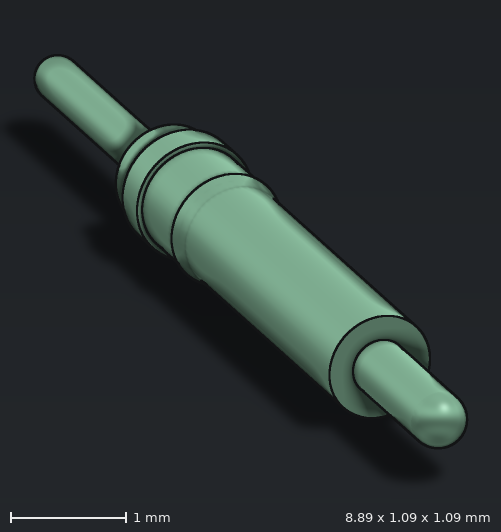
import cadquery as cq

total_length = 8.89

tail_diameter = 0.41
plunger_diameter = 0.51
barrel_diameter = 0.95
flange_diameter = 1.09
seat_diameter = 1.0
barb_diameter = 1.04

barrel_start = 2.605
flange_start = 2.925
flange_width = 0.32
barb_start = 3.95
barb_width = 0.21
barrel_end = 7.34

flange_end = flange_start + flange_width
barb_end = barb_start + barb_width


def cylinder(start, end, diameter):
    """Solid cylinder on the X axis between two stations."""
    return cq.Workplane("YZ", origin=(start, 0, 0)).circle(diameter / 2).extrude(end - start)


def ball(center, diameter):
    """Sphere centred on the X axis, used as a rounded pin end."""
    return cq.Workplane("XY", origin=(center, 0, 0)).sphere(diameter / 2)


def rounded_pin(base, tip, diameter):
    """Pin with a flat base and a hemispherical tip."""
    direction = 1 if tip > base else -1
    dome_center = tip - direction * diameter / 2
    shaft = cylinder(base, dome_center, diameter)
    return shaft.union(ball(dome_center, diameter))


def press_fit_barb():
    """Tapered ring: square shoulder toward the flange, narrowing to the barrel."""
    return (
        cq.Workplane("XY")
        .moveTo(barb_start, 0)
        .lineTo(barb_start, barb_diameter / 2)
        .lineTo(barb_end, barrel_diameter / 2)
        .lineTo(barb_end, 0)
        .close()
        .revolve(360, (0, 0, 0), (1, 0, 0))
    )


barrel = cylinder(barrel_start, barrel_end, barrel_diameter)
flange = cylinder(flange_start, flange_end, flange_diameter)
seat = cylinder(flange_end, barb_start, seat_diameter)
tail = rounded_pin(barrel_start, 0, tail_diameter)
plunger = rounded_pin(barrel_end, total_length, plunger_diameter)

result = barrel.union(flange).union(seat).union(press_fit_barb()).union(tail).union(plunger)